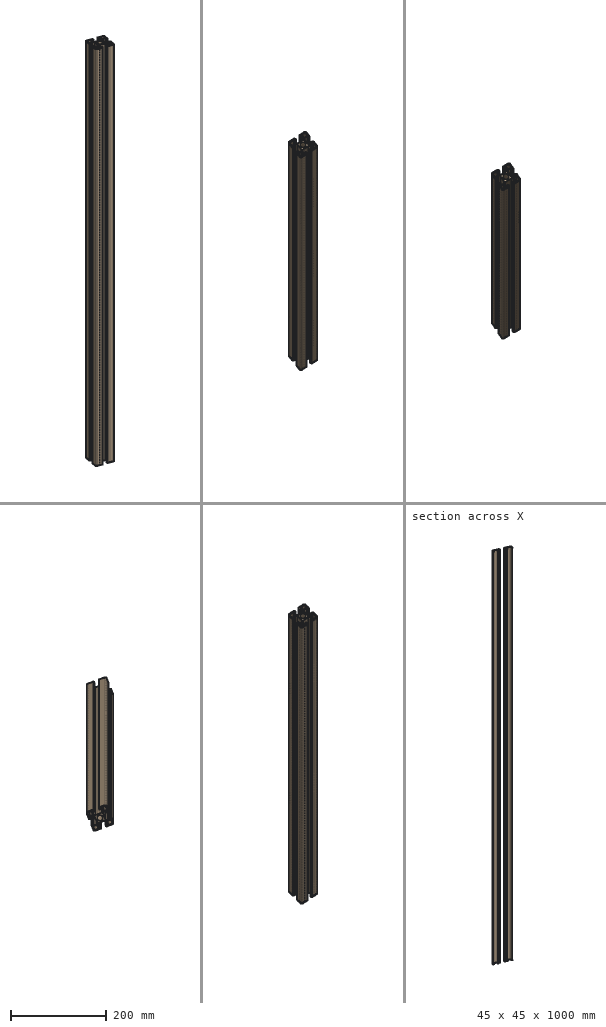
import cadquery as cq


side = 45.0
length = 1000.0
corner_radius = 3.0
half_side = side / 2

mouth_half_width = 5.0
rebate_half_width = 6.2
rebate_depth = 1.5
rebate_floor = half_side - rebate_depth

nose_thickness = 5.2
lip_thickness = 4.0
nose_half_width = 8.5
nose_underside = half_side - nose_thickness
lip_underside = half_side - lip_thickness

channel_half_width = 10.5
flank_size = 3.2
slot_floor = 9.3
flank_top = slot_floor + flank_size
floor_half_width = channel_half_width - flank_size

crown_half_width = 3.5
crown_height = 0.2

bore_diameter = 12.5
hollow_inner = 11.7
hollow_outer = 20.2
hollow_size = hollow_outer - hollow_inner
hollow_centre = (hollow_inner + hollow_outer) / 2
hollow_radius = 0.7

slot_count = 4


def make_bar():
    """Solid square bar with rounded long edges."""
    return cq.Workplane("XY").rect(side, side).extrude(length).edges("|Z").fillet(corner_radius)


def make_slot():
    """Full-length cutter for the slot on the +Y side."""
    right_half = [
        (crown_half_width, slot_floor),
        (floor_half_width, slot_floor),
        (channel_half_width, flank_top),
        (channel_half_width, lip_underside),
        (nose_half_width, lip_underside),
        (nose_half_width, nose_underside),
        (mouth_half_width, nose_underside),
        (mouth_half_width, rebate_floor),
        (rebate_half_width, rebate_floor),
        (rebate_half_width, half_side),
    ]
    left_half = [(-x, y) for x, y in reversed(right_half)]
    crown_top = (0, slot_floor + crown_height)
    outline = cq.Workplane("XY").polyline(right_half + left_half)
    return outline.threePointArc(crown_top, right_half[0]).close().extrude(length)


def cut_slots(body):
    """Cut the same slot into all four sides."""
    slot = make_slot()
    for index in range(slot_count):
        angle = index * 360 / slot_count
        body = body.cut(slot.rotate((0, 0, 0), (0, 0, 1), angle))
    return body


def cut_bore(body):
    """Cut the round bore along the bar's axis."""
    return body.cut(cq.Workplane("XY").circle(bore_diameter / 2).extrude(length))


def cut_corner_hollows(body):
    """Cut a rounded square hollow through each corner."""
    hollows = (
        cq.Workplane("XY")
        .rect(2 * hollow_centre, 2 * hollow_centre, forConstruction=True)
        .vertices()
        .rect(hollow_size, hollow_size)
        .extrude(length)
        .edges("|Z")
        .fillet(hollow_radius)
    )
    return body.cut(hollows)


result = cut_corner_hollows(cut_bore(cut_slots(make_bar())))